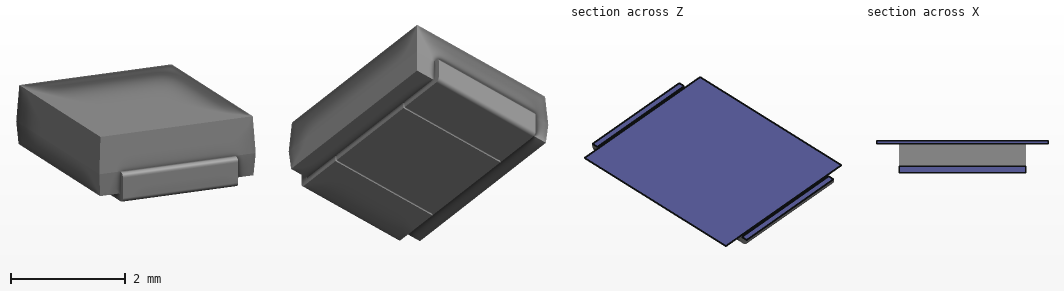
import cadquery as cq

overall_length = 3.7
overall_height = 1.2

waist_length = 3.452
waist_width = 3.0
parting_height = 0.535
top_inset = 0.04
bottom_inset = 0.03

lead_thickness = 0.125
lead_width = 2.21
lead_bend_radius = 0.08
pad_length = 1.8
pad_gap = 0.03

mark_length = 0.61
mark_margin = 0.055
mark_depth = 0.02

body_bottom = lead_thickness
top_length = waist_length - 2 * top_inset
top_width = waist_width - 2 * top_inset


def drafted_block(end_height, inset):
    """Block narrowing evenly from the parting line to a smaller end face."""
    return (
        cq.Workplane("XY")
        .workplane(offset=parting_height)
        .rect(waist_length, waist_width)
        .workplane(offset=end_height - parting_height)
        .rect(waist_length - 2 * inset, waist_width - 2 * inset)
        .loft(ruled=True)
    )


def make_lead():
    """L-shaped lead at the -X end: upright wall with a foot under the body."""
    outer_x = -overall_length / 2
    inner_x = outer_x + lead_thickness
    foot_end_x = -pad_length / 2 - pad_gap
    return (
        cq.Workplane("XZ")
        .moveTo(outer_x, 0)
        .lineTo(foot_end_x, 0)
        .lineTo(foot_end_x, lead_thickness)
        .lineTo(inner_x, lead_thickness)
        .lineTo(inner_x, parting_height)
        .lineTo(outer_x, parting_height)
        .close()
        .extrude(lead_width / 2, both=True)
        .edges("|Y and <X")
        .fillet(lead_bend_radius)
    )


def make_pad():
    """Flat pad under the middle of the body."""
    return cq.Workplane("XY").box(
        pad_length, lead_width, lead_thickness, centered=(True, True, False)
    )


def make_mark():
    """Thin bar along the -X edge of the top face."""
    return (
        cq.Workplane("XY")
        .box(mark_length, top_width - 2 * mark_margin, mark_depth, centered=(False, True, False))
        .translate((-top_length / 2 + mark_margin, 0, overall_height - mark_depth))
    )


lead = make_lead()
mark = make_mark()

result = (
    drafted_block(overall_height, top_inset)
    .union(drafted_block(body_bottom, bottom_inset))
    .union(lead)
    .union(lead.mirror("YZ"))
    .union(make_pad())
)

result = result.cut(mark).union(mark, clean=False)